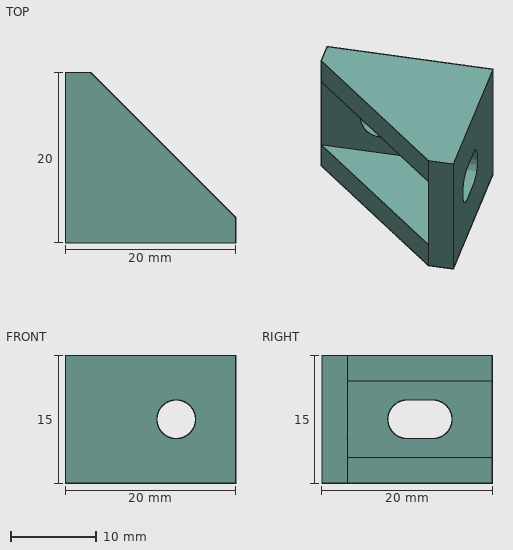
import cadquery as cq

leg_length = 20
height = 15
wall = 3

hole_diameter = 4.5
hole_center = 13
slot_travel = 3
mid_height = height / 2


def make_body():
    """Triangular block whose sloping face leaves blunt leg ends."""
    outline = [
        (0, 0),
        (leg_length, 0),
        (leg_length, wall),
        (wall, leg_length),
        (0, leg_length),
    ]
    return cq.Workplane("XY").polyline(outline).close().extrude(height)


def make_pocket():
    """Cavity between the webs, open through the sloping face."""
    size = leg_length - wall
    return (
        cq.Workplane("XY")
        .box(size, size, height - 2 * wall, centered=False)
        .translate((wall, wall, wall))
    )


def make_round_hole():
    """Round hole through the leg along X."""
    return (
        cq.Workplane("XZ")
        .center(hole_center, mid_height)
        .circle(hole_diameter / 2)
        .extrude(-wall)
    )


def make_slot():
    """Slot through the leg along Y, reaching inward from the hole position."""
    return (
        cq.Workplane("YZ")
        .center(hole_center - slot_travel / 2, mid_height)
        .slot2D(slot_travel + hole_diameter, hole_diameter)
        .extrude(wall)
    )


result = make_body().cut(make_pocket()).cut(make_round_hole()).cut(make_slot())